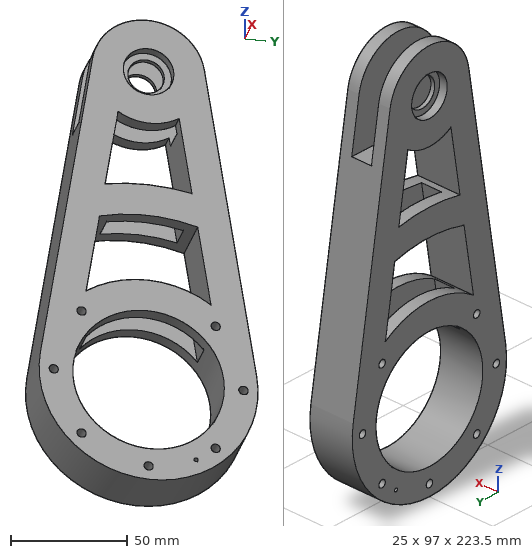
import cadquery as cq
import math

thickness = 25.0
overall_height = 223.5
ring_radius = 48.5
eye_radius = 25.0
wall = 15.0
bore_radius = ring_radius - wall
eye_z = overall_height - ring_radius - eye_radius

crossbar_outer_radius = 95.0
crossbar_inner_radius = crossbar_outer_radius - wall

slot_width = 11.6
slot_floor_z = eye_z - eye_radius
cavity_inset = wall + 4.5

pin_radius = 8.0
counterbore_radius = 11.2
counterbore_depth = 4.5

bolt_circle_radius = 42.0
bolt_radius = 2.0
bolt_angles = [0, 45, 135, 180, 225, 270, 315]
dowel_radius = 1.0
dowel_angle = 240

side_sin = (ring_radius - eye_radius) / eye_z
side_cos = math.sqrt(1 - side_sin**2)


def disc(radius, z=0.0, y=0.0, width=thickness, x=0.0):
    """Cylinder along X, centred in the thickness unless moved by x."""
    return cq.Workplane("YZ", origin=(x - width / 2, y, z)).circle(radius).extrude(width)


def tapered_bar(inset, width):
    """Bar from the ring axis to the eye axis, its sides inset parallel to the outer sides."""
    bottom_radius = ring_radius - inset
    top_radius = eye_radius - inset
    bottom = (bottom_radius * side_cos, bottom_radius * side_sin)
    top = (top_radius * side_cos, eye_z + top_radius * side_sin)
    points = [bottom, top, (-top[0], top[1]), (-bottom[0], bottom[1])]
    return cq.Workplane("YZ", origin=(-width / 2, 0, 0)).polyline(points).close().extrude(width)


def on_bolt_circle(radius, angle):
    """Through-hole cutter on the bolt circle, with the angle measured from -Y towards +Z."""
    y = -bolt_circle_radius * math.cos(math.radians(angle))
    z = bolt_circle_radius * math.sin(math.radians(angle))
    return disc(radius, z, y)


body = disc(ring_radius).union(disc(eye_radius, eye_z)).union(tapered_bar(0, thickness))

crossbar = disc(crossbar_outer_radius).cut(disc(crossbar_inner_radius))
windows = tapered_bar(wall, thickness).cut(disc(ring_radius)).cut(disc(eye_radius, eye_z)).cut(crossbar)
body = body.cut(windows).cut(disc(bore_radius))

below_slot = cq.Workplane("XY").box(
    thickness, 2 * ring_radius, slot_floor_z, centered=(True, True, False)
)
body = body.cut(tapered_bar(cavity_inset, slot_width).intersect(below_slot))

slot = cq.Workplane("XY", origin=(0, 0, slot_floor_z)).box(
    slot_width, 2 * ring_radius, overall_height, centered=(True, True, False)
)
body = body.cut(slot)

body = body.cut(disc(pin_radius, eye_z))
for side in (-1, 1):
    counterbore_x = side * (thickness - counterbore_depth) / 2
    body = body.cut(disc(counterbore_radius, eye_z, width=counterbore_depth, x=counterbore_x))

for angle in bolt_angles:
    body = body.cut(on_bolt_circle(bolt_radius, angle))
body = body.cut(on_bolt_circle(dowel_radius, dowel_angle))

result = body